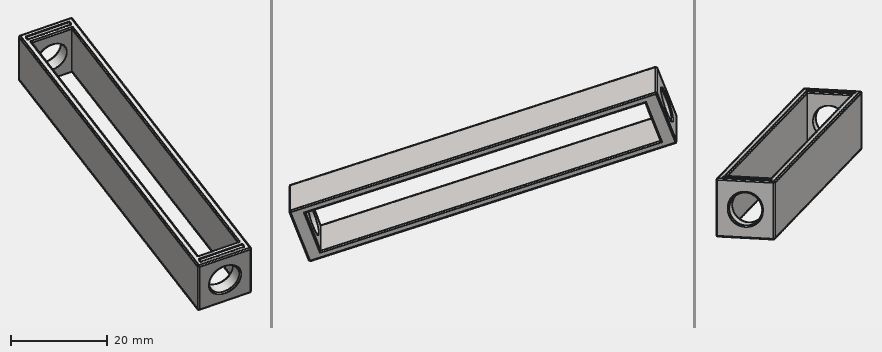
import cadquery as cq

length = 81.25
side = 12.5

opening_length = 75.0
opening_width = 9.35
end_wall = (length - opening_length) / 2

hole_diameter = 7.0

recess_length = 10.2
recess_width = 1.0
recess_depth = 0.25
recess_offset = length / 2 - end_wall / 2

edge_chamfer = 0.3


def outer_bar():
    """Square bar with every outer edge chamfered."""
    return cq.Workplane("XY").box(length, side, side).edges().chamfer(edge_chamfer)


def opening_cutter():
    """Straight opening, widened by a chamfer where it meets the top and bottom faces."""
    opening = cq.Workplane("XY").box(opening_length, opening_width, side)
    for direction in (1, -1):
        mouth_height = direction * side / 2
        flare = (
            cq.Workplane("XY", origin=(0, 0, mouth_height))
            .rect(opening_length + 2 * edge_chamfer, opening_width + 2 * edge_chamfer)
            .workplane(offset=-direction * edge_chamfer)
            .rect(opening_length, opening_width)
            .loft(ruled=True)
        )
        opening = opening.union(flare)
    return opening


def hole_cutter():
    """Cylinder along X, flared by a chamfer at both end faces of the bar."""
    radius = hole_diameter / 2
    flare_radius = radius + edge_chamfer
    half = length / 2
    profile = [
        (-half, 0),
        (-half, flare_radius),
        (-half + edge_chamfer, radius),
        (half - edge_chamfer, radius),
        (half, flare_radius),
        (half, 0),
    ]
    return cq.Workplane("XZ").polyline(profile).close().revolve(360, (0, 0), (1, 0))


def recess_cutter():
    """Matching recesses on the top of the two end walls."""
    return (
        cq.Workplane("XY", origin=(0, 0, side / 2))
        .pushPoints([(-recess_offset, 0), (recess_offset, 0)])
        .rect(recess_width, recess_length)
        .extrude(-recess_depth)
    )


result = outer_bar().cut(opening_cutter()).cut(hole_cutter()).cut(recess_cutter())